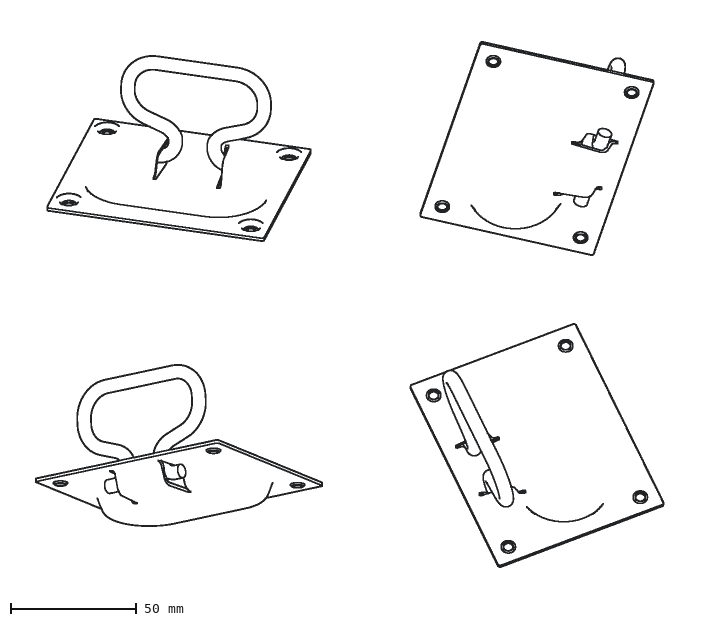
import cadquery as cq
import math

plate_length = 89.4
plate_width = 71.55
sheet = 1.3
plate_corner_radius = 1.0

bowl_half_straight = 17.5
bowl_centre_y = -4.0
bowl_rim_offset = 22.45
bowl_depth = 9.8
wall_angle = 20.5
rim_bend_radius = 3.2
floor_bend_radius = 2.5

tab_setback = 11.0
slit_width = 1.25
slit_front_half_gap = 13.15
slit_rear_half_gap = 11.8

screw_edge_inset = 7.2
screw_hole_radius = 2.0
dimple_radius = 6.0
dimple_bend_radius = 0.83
dimple_angle = 55.0
dimple_cone_run = 0.7
dimple_boss_radius = 2.9
dimple_boss_height = 0.6

bar_diameter = 5.55
pivot_y = 23.0
pivot_z = -5.0
handle_lean = 5.0
foot_end_x = 17.9
leg_x = 8.0
foot_bend_radius = 7.0
leg_straight = 0.9
neck_lower_radius = 4.0
neck_upper_radius = 8.5
neck_lower_turn = 32.0
slope_turn = 71.0
slope_length = 7.5
shoulder_lower_radius = 11.8
shoulder_upper_radius = 9.8
shoulder_upper_turn = 11.0
side_straight = 2.3
top_bend_radius = 11.5

floor_top_z = sheet - bowl_depth
bend_sin = math.cos(math.radians(wall_angle))
bend_cos = math.sin(math.radians(wall_angle))
wall_height = -floor_top_z - (rim_bend_radius + floor_bend_radius) * (1 - bend_cos)
wall_run = wall_height * math.tan(math.radians(wall_angle))
floor_offset = bowl_rim_offset - (rim_bend_radius + floor_bend_radius) * bend_sin - wall_run
tab_centre_y = bowl_centre_y + tab_setback
slit_front_y = bowl_centre_y + floor_offset
slit_rear_y = tab_centre_y + bowl_rim_offset


def polar(radius, angle):
    """Vector of the given length at an angle in degrees."""
    return radius * math.cos(math.radians(angle)), radius * math.sin(math.radians(angle))


def bowl_section(floor_z, floor_radius, rim_z, rim_radius):
    """Half section of one bowl surface, filled up to rim_z, in the YZ plane from its centre line."""
    floor_centre_z = floor_z + floor_radius
    rim_centre_z = rim_z - rim_radius

    def on_floor_bend(angle):
        dy, dz = polar(floor_radius, angle)
        return floor_offset + dy, floor_centre_z + dz

    def on_rim_bend(angle):
        dy, dz = polar(rim_radius, angle)
        return bowl_rim_offset + dy, rim_centre_z + dz

    bend = 90 - wall_angle
    return (
        cq.Workplane("YZ")
        .moveTo(0, floor_z)
        .lineTo(floor_offset, floor_z)
        .threePointArc(on_floor_bend(bend / 2 - 90), on_floor_bend(-wall_angle))
        .lineTo(*on_rim_bend(180 - wall_angle))
        .threePointArc(on_rim_bend(90 + bend / 2), on_rim_bend(90))
        .lineTo(0, rim_z)
        .close()
    )


def inner_section():
    return bowl_section(floor_top_z, floor_bend_radius, 0, rim_bend_radius)


def outer_section():
    return bowl_section(-bowl_depth, floor_bend_radius + sheet, -sheet, rim_bend_radius - sheet)


def stadium_bowl(section):
    """Bowl from a half section: two straight sides and two round ends."""
    side = section().extrude(bowl_half_straight, both=True)
    bowl = side.union(side.mirror("XZ"))
    for end_x in (-bowl_half_straight, bowl_half_straight):
        end = section().revolve(360, (0, 0), (0, 1)).translate((end_x, 0, 0))
        bowl = bowl.union(end)
    return bowl.translate((0, bowl_centre_y, 0))


def plate():
    return (
        cq.Workplane("XY")
        .box(plate_length, plate_width, sheet, centered=(True, True, False))
        .translate((0, 0, -sheet))
        .edges("|Z")
        .fillet(plate_corner_radius)
    )


def tab_zone():
    """Prism over the tapered area between the slit centre lines."""
    outline = [
        (-slit_front_half_gap, slit_front_y),
        (slit_front_half_gap, slit_front_y),
        (slit_rear_half_gap, slit_rear_y),
        (-slit_rear_half_gap, slit_rear_y),
    ]
    return cq.Workplane("XY").workplane(offset=-bowl_depth).polyline(outline).close().extrude(bowl_depth)


def tab():
    """Floor strip and rear wall of the tab, before the slits are cut."""
    half_width = slit_front_half_gap
    cover = cq.Workplane("XY").box(2 * half_width, bowl_rim_offset, sheet, centered=(True, False, False))
    block = cover.translate((0, 0, -sheet)).union(outer_section().extrude(half_width, both=True))
    strip = block.cut(inner_section().extrude(half_width, both=True))
    return strip.translate((0, tab_centre_y, 0)).intersect(tab_zone())


def slit(side):
    """Round-ended slit through the whole tray on one side (-1 or 1) of the tab."""
    run_x = slit_rear_half_gap - slit_front_half_gap
    run_y = slit_rear_y - slit_front_y
    length = math.hypot(run_x, run_y) + slit_width
    middle_x = (slit_front_half_gap + slit_rear_half_gap) / 2
    middle_y = (slit_front_y + slit_rear_y) / 2
    return (
        cq.Workplane("XY")
        .workplane(offset=-bowl_depth)
        .center(side * middle_x, middle_y)
        .slot2D(length, slit_width, math.degrees(math.atan2(run_y, side * run_x)))
        .extrude(bowl_depth)
    )


def dimple():
    """Raised ring, countersunk hollow and underside boss, revolved about a screw axis."""
    full = math.radians(dimple_angle)
    across = dimple_bend_radius * math.sin(full)
    rise = dimple_bend_radius * (1 - math.cos(full))
    half_across = dimple_bend_radius * math.sin(full / 2)
    half_rise = dimple_bend_radius * (1 - math.cos(full / 2))
    cone_drop = dimple_cone_run * math.tan(full)

    crest_r = dimple_radius - 2 * across
    crest_z = 2 * rise
    cone_top = (crest_r - across, crest_z - rise)
    cone_bottom = (cone_top[0] - dimple_cone_run, cone_top[1] - cone_drop)
    seat_r = cone_bottom[0] - across
    seat_z = cone_bottom[1] - rise
    boss_z = -sheet - dimple_boss_height
    return (
        cq.Workplane("XZ")
        .moveTo(dimple_radius, 0)
        .threePointArc((dimple_radius - half_across, half_rise), (dimple_radius - across, rise))
        .threePointArc((crest_r + half_across, crest_z - half_rise), (crest_r, crest_z))
        .threePointArc((crest_r - half_across, crest_z - half_rise), cone_top)
        .lineTo(*cone_bottom)
        .threePointArc((seat_r + half_across, seat_z + half_rise), (seat_r, seat_z))
        .lineTo(screw_hole_radius, seat_z)
        .lineTo(screw_hole_radius, boss_z)
        .lineTo(dimple_boss_radius - dimple_boss_height, boss_z)
        .lineTo(dimple_boss_radius, -sheet)
        .lineTo(dimple_radius, -sheet)
        .close()
        .revolve(360, (0, 0), (0, 1))
    )


def make_tray():
    """Plate with its bowl, tab, slits and four dimpled holes."""
    body = plate().union(stadium_bowl(outer_section)).cut(stadium_bowl(inner_section))
    body = body.cut(tab_zone()).union(tab())
    for side in (-1, 1):
        body = body.cut(slit(side))

    dimple_opening = cq.Workplane("XY").circle(dimple_radius).extrude(-sheet)
    dimple_x = plate_length / 2 - screw_edge_inset
    dimple_y = plate_width / 2 - screw_edge_inset
    for x in (-dimple_x, dimple_x):
        for y in (-dimple_y, dimple_y):
            place = (x, y, 0)
            body = body.cut(dimple_opening.translate(place)).union(dimple().translate(place))
    return body


def handle_path():
    """Centre line of the whole bar in the XZ plane, from the -X foot to the +X foot."""
    foot_straight = foot_end_x - leg_x - foot_bend_radius
    foot = [foot_straight, (foot_bend_radius, 90)]
    neck = [(neck_lower_radius, neck_lower_turn), (neck_upper_radius, slope_turn - neck_lower_turn)]
    shoulder = [
        (shoulder_lower_radius, shoulder_upper_turn - slope_turn),
        (shoulder_upper_radius, -shoulder_upper_turn),
    ]
    top_bend = (top_bend_radius, -90)
    rising = [*foot, leg_straight, *neck, slope_length, *shoulder, side_straight, top_bend]

    path = cq.Workplane("XZ").moveTo(-foot_end_x, 0)
    x, z, heading = -foot_end_x, 0.0, 0.0

    def advance(step):
        """Add one step, a straight length or a (radius, turn) bend, to the path."""
        nonlocal path, x, z, heading
        if not isinstance(step, tuple):
            dx, dz = polar(step, heading)
            x, z = x + dx, z + dz
            path = path.lineTo(x, z)
            return
        radius, turn = step
        outward = heading - math.copysign(90, turn)
        out_x, out_z = polar(radius, outward)
        centre_x, centre_z = x - out_x, z - out_z
        middle_x, middle_z = polar(radius, outward + turn / 2)
        end_x, end_z = polar(radius, outward + turn)
        x, z = centre_x + end_x, centre_z + end_z
        path = path.threePointArc((centre_x + middle_x, centre_z + middle_z), (x, z))
        heading += turn

    for step in rising:
        advance(step)
    advance(-2 * x)
    for step in reversed(rising):
        advance(step)
    return path


def make_handle():
    """Round bar swept upright, then leaned back about its pivot axis."""
    upright = (
        cq.Workplane("YZ", origin=(-foot_end_x, 0, 0))
        .circle(bar_diameter / 2)
        .sweep(handle_path())
    )
    return upright.rotate((0, 0, 0), (1, 0, 0), -handle_lean).translate((0, pivot_y, pivot_z))


handle = make_handle()
tray = make_tray().cut(handle)

result = cq.Compound.makeCompound([tray.solids().val(), handle.solids().val()])